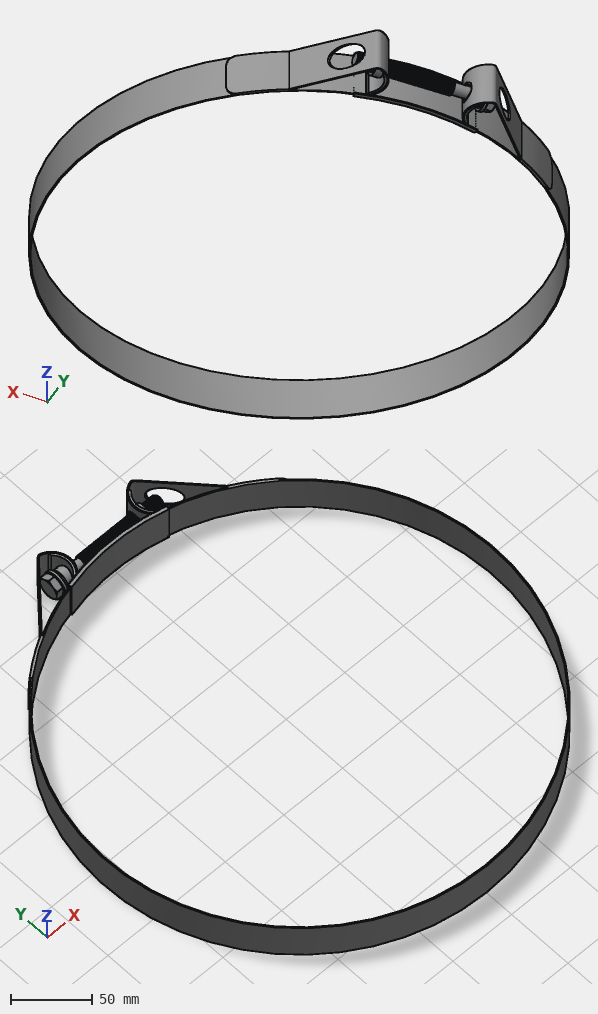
import cadquery as cq
import math

BAND_RADIUS = 166.2
STRIP = 1.0
BAND_WIDTH = 29.2

EAR_TOP = 190.5
BOLT_Y = 175.0
SEAT_RADIUS = 16.0
SEAT_X = 43.0
CREST_RADIUS = 3.5
LEG_SLOPE = 48.0
LAP_END_ANGLE = 132.0
LAP_CORNER_RADIUS = 7.0
LEG_HOLE_DIAMETER = 18.2
SEAT_HOLE_DIAMETER = 13.0

BRIDGE_LENGTH = 84.0
BRIDGE_WIDTH = 31.0

THREAD_DIAMETER = 10.0
THREAD_ROOT_DIAMETER = 8.2
THREAD_PITCH = 1.5
THREAD_START_X = -18.2
BOLT_TIP_X = 48.5
HEAD_X = -46.0
HEAD_FLATS = 15.0
HEAD_CHAMFER_ANGLE = 30.0
FLANGE_X = -40.3
FLANGE_DIAMETER = 18.2
FLANGE_THICKNESS = 2.0

LINER_THICKNESS = 1.8
LINER_END_X = 34.2
COLLAR_X = 36.0
COLLAR_DIAMETER = 14.3

band_inner = BAND_RADIUS - STRIP
bridge_inner = band_inner - STRIP
lap_outer = BAND_RADIUS + STRIP
seat_inner = SEAT_RADIUS - STRIP
crest_inner = CREST_RADIUS - STRIP
seat_center = (-SEAT_X, BOLT_Y)
crest_rise = EAR_TOP - CREST_RADIUS - BOLT_Y
crest_shift = math.sqrt((SEAT_RADIUS - CREST_RADIUS) ** 2 - crest_rise**2)
crest_center = (crest_shift - SEAT_X, BOLT_Y + crest_rise)


def polar(center, radius, angle):
    """Point at an angle, in degrees, on a circle."""
    a = math.radians(angle)
    return (center[0] + radius * math.cos(a), center[1] + radius * math.sin(a))


def ring_hit(start, direction, radius):
    """First point where a ray meets the circle of the given radius about the origin."""
    along = start[0] * direction[0] + start[1] * direction[1]
    square = start[0] ** 2 + start[1] ** 2
    travel = -along - math.sqrt(along**2 - square + radius**2)
    return (start[0] + travel * direction[0], start[1] + travel * direction[1])


def seat_foot_angle(radius):
    """Angle on a seat arc, below the bolt axis, where it lands on the outside of the ring."""
    reach = math.hypot(*seat_center)
    to_origin = math.degrees(math.atan2(-seat_center[1], -seat_center[0]))
    swing = math.acos((reach**2 + radius**2 - BAND_RADIUS**2) / (2 * reach * radius))
    return to_origin + math.degrees(swing)


def sector(inner, outer, start, end, width):
    """Curved strip about Z, between two angles, centred on Z = 0."""
    middle = (start + end) / 2
    center = (0, 0)
    return (
        cq.Workplane("XY")
        .moveTo(*polar(center, outer, start))
        .threePointArc(polar(center, outer, middle), polar(center, outer, end))
        .lineTo(*polar(center, inner, end))
        .threePointArc(polar(center, inner, middle), polar(center, inner, start))
        .close()
        .extrude(width / 2, both=True)
    )


def x_cylinder(diameter, start, end):
    """Cylinder around the bolt axis, between two X positions."""
    return (
        cq.Workplane("YZ", origin=(start, BOLT_Y, 0)).circle(diameter / 2).extrude(end - start)
    )


def make_ear():
    """Folded strip on the -X side, from its foot on the ring to the end of its lap."""
    foot_outer = seat_foot_angle(SEAT_RADIUS)
    foot_inner = seat_foot_angle(seat_inner)
    join = math.degrees(math.atan2(crest_rise, crest_shift))
    leg_normal = 90 + LEG_SLOPE
    crest_middle = (join + leg_normal) / 2
    downhill = polar((0, 0), 1, 180 + LEG_SLOPE)
    leg_outer = polar(crest_center, CREST_RADIUS, leg_normal)
    leg_inner = polar(crest_center, crest_inner, leg_normal)
    bend_outer = ring_hit(leg_outer, downhill, lap_outer)
    bend_inner = ring_hit(leg_inner, downhill, BAND_RADIUS)

    folded = (
        cq.Workplane("XY")
        .moveTo(*polar(seat_center, SEAT_RADIUS, foot_outer))
        .threePointArc(polar(seat_center, SEAT_RADIUS, 0), polar(seat_center, SEAT_RADIUS, join))
        .threePointArc(polar(crest_center, CREST_RADIUS, crest_middle), leg_outer)
        .lineTo(*bend_outer)
        .lineTo(*bend_inner)
        .lineTo(*leg_inner)
        .threePointArc(
            polar(crest_center, crest_inner, crest_middle), polar(crest_center, crest_inner, join)
        )
        .threePointArc(
            polar(seat_center, seat_inner, 0), polar(seat_center, seat_inner, foot_inner)
        )
        .close()
        .extrude(BAND_WIDTH / 2, both=True)
    )
    leg_hole = x_cylinder(LEG_HOLE_DIAMETER, bend_outer[0], crest_center[0])
    seat_hole = x_cylinder(SEAT_HOLE_DIAMETER, crest_center[0], 0)

    lap_start = math.degrees(math.atan2(bend_outer[1], bend_outer[0]))
    lap = sector(BAND_RADIUS, lap_outer, lap_start, LAP_END_ANGLE, BAND_WIDTH)
    lap_end = polar((0, 0), BAND_RADIUS, LAP_END_ANGLE)
    end_edges = cq.selectors.BoxSelector(
        (lap_end[0] - STRIP, lap_end[1] - STRIP, -BAND_WIDTH),
        (lap_end[0] + STRIP, lap_end[1] + STRIP, BAND_WIDTH),
    )
    lap = lap.edges(end_edges).edges("#Z").fillet(LAP_CORNER_RADIUS)
    return folded.cut(leg_hole).cut(seat_hole).union(lap)


def make_band():
    """Open ring whose ends meet the feet of the two ears."""
    foot = polar(seat_center, SEAT_RADIUS, seat_foot_angle(SEAT_RADIUS))
    end_angle = math.degrees(math.atan2(foot[1], foot[0]))
    ring = sector(band_inner, BAND_RADIUS, end_angle, 540 - end_angle, BAND_WIDTH)
    ear = make_ear()
    return ring.union(ear).union(ear.mirror("YZ"))


def make_bridge():
    """Curved channel under the band ends, with side walls standing one strip above the band."""
    half_angle = math.degrees(math.asin(BRIDGE_LENGTH / 2 / BAND_RADIUS))
    start = 90 - half_angle
    end = 90 + half_angle
    block = sector(bridge_inner, lap_outer, start, end, BRIDGE_WIDTH)
    groove = sector(band_inner, lap_outer, start, end, BAND_WIDTH)
    return block.cut(groove)


def make_bolt():
    """Hexagon bolt with a washer flange and a ring-grooved thread."""
    root = THREAD_ROOT_DIAMETER / 2
    crest = THREAD_DIAMETER / 2
    flange_end = FLANGE_X + FLANGE_THICKNESS
    collar_radius = COLLAR_DIAMETER / 2
    profile = [
        (FLANGE_X, 0),
        (FLANGE_X, FLANGE_DIAMETER / 2),
        (flange_end, FLANGE_DIAMETER / 2),
        (flange_end, collar_radius),
        (-COLLAR_X, collar_radius),
        (-COLLAR_X, root),
        (THREAD_START_X, root),
    ]
    turns = int((BOLT_TIP_X - THREAD_START_X) / THREAD_PITCH)
    for turn in range(turns):
        x = THREAD_START_X + turn * THREAD_PITCH
        profile.append((x + THREAD_PITCH / 3, crest))
        profile.append((x + THREAD_PITCH * 2 / 3, crest))
        profile.append((x + THREAD_PITCH, root))
    profile += [(BOLT_TIP_X, root), (BOLT_TIP_X, 0)]
    shank = (
        cq.Workplane("XY", origin=(0, BOLT_Y, 0))
        .polyline(profile)
        .close()
        .revolve(360, (0, 0, 0), (1, 0, 0))
    )
    return shank.union(make_bolt_head())


def make_bolt_head():
    """Hexagon with corners at +Z and -Z, chamfered by cones at both ends."""
    height = FLANGE_X - HEAD_X
    corners = HEAD_FLATS / math.cos(math.pi / 6)
    face_radius = HEAD_FLATS / 2
    chamfer = (corners / 2 - face_radius) * math.tan(math.radians(HEAD_CHAMFER_ANGLE))
    hexagon = (
        cq.Workplane("YZ", origin=(HEAD_X, BOLT_Y, 0))
        .transformed(rotate=(0, 0, 90))
        .polygon(6, corners)
        .extrude(height)
    )
    turned = (
        cq.Workplane("XY", origin=(HEAD_X, BOLT_Y, 0))
        .polyline(
            [
                (0, 0),
                (0, face_radius),
                (chamfer, corners / 2),
                (height - chamfer, corners / 2),
                (height, face_radius),
                (height, 0),
            ]
        )
        .close()
        .revolve(360, (0, 0, 0), (1, 0, 0))
    )
    return hexagon.intersect(turned)


def make_left_seat():
    """Liner plate and bored collar inside the -X ear, bearing on the inside of its seat arc."""
    seat_end = seat_inner - SEAT_X
    liner_inner = seat_inner - LINER_THICKNESS
    end_shift = SEAT_X - LINER_END_X
    outer_rise = math.sqrt(seat_inner**2 - end_shift**2)
    inner_rise = math.sqrt(liner_inner**2 - end_shift**2)
    liner = (
        cq.Workplane("XY")
        .moveTo(-LINER_END_X, BOLT_Y - outer_rise)
        .threePointArc((seat_end, BOLT_Y), (-LINER_END_X, BOLT_Y + outer_rise))
        .lineTo(-LINER_END_X, BOLT_Y + inner_rise)
        .threePointArc((liner_inner - SEAT_X, BOLT_Y), (-LINER_END_X, BOLT_Y - inner_rise))
        .close()
        .extrude(BAND_WIDTH / 2, both=True)
    )
    ear_inside = (
        cq.Workplane("XY", origin=(*seat_center, 0))
        .circle(seat_inner)
        .extrude(BAND_WIDTH / 2, both=True)
    )
    collar = x_cylinder(COLLAR_DIAMETER, -COLLAR_X, seat_end).intersect(ear_inside)
    bore = x_cylinder(THREAD_DIAMETER, -COLLAR_X, seat_end)
    return liner.union(collar).cut(bore)


band = make_band()
bridge = make_bridge()
bolt = make_bolt()
left_seat = make_left_seat()
right_seat = left_seat.mirror("YZ")

result = cq.Compound.makeCompound(
    [band.val(), bridge.val(), bolt.val(), left_seat.val(), right_seat.val()]
)